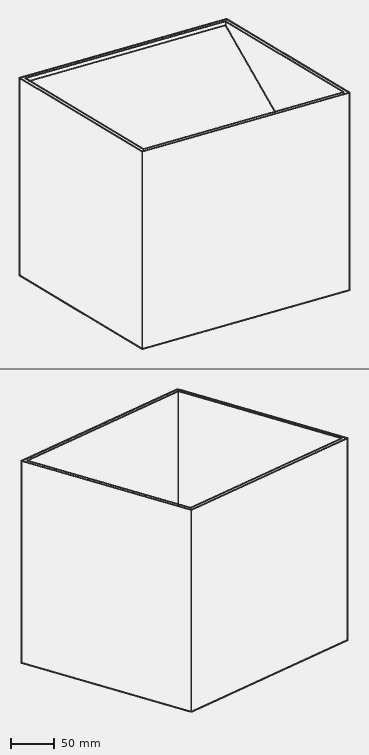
import cadquery as cq

length_x = 250.0
length_y = 290.0
height = 250.0
wall = 5.0

shallow_depth = 5.0
deep_depth = 177.0

inner_half_x = length_x / 2 - wall
inner_length_y = length_y - 2 * wall


def make_cavity():
    """Open-topped cavity whose floor falls from the -X wall to the +X wall."""
    return (
        cq.Workplane("XZ")
        .polyline([
            (-inner_half_x, height),
            (inner_half_x, height),
            (inner_half_x, height - deep_depth),
            (-inner_half_x, height - shallow_depth),
        ])
        .close()
        .extrude(inner_length_y / 2, both=True)
    )


body = cq.Workplane("XY").box(length_x, length_y, height, centered=(True, True, False))
result = body.cut(make_cavity())